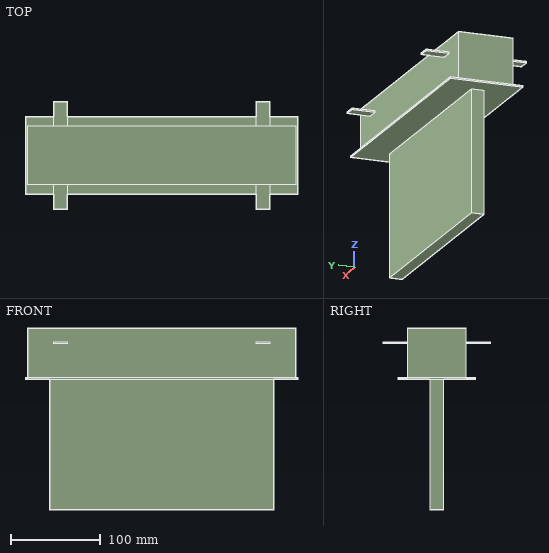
import cadquery as cq

total_height = 202.0
blade_height = 145.0
flange_thickness = 1.8
housing_height = total_height - blade_height - flange_thickness

flange_length = 303.0
flange_width = 86.7
housing_length = 298.5
housing_width = 65.0
blade_length = 249.7
blade_thickness = 15.0

tab_span = 120.0
tab_width = 15.0
tab_thickness = 1.8
tab_spacing = 225.5
tab_depth_below_top = 15.0

flange_bottom = blade_height
housing_bottom = flange_bottom + flange_thickness
tab_bottom = total_height - tab_depth_below_top - tab_thickness


def block(length, width, height, bottom, center_x=0):
    """Box centred on Y = 0 that rises from the given bottom height."""
    return (
        cq.Workplane("XY")
        .box(length, width, height, centered=(True, True, False))
        .translate((center_x, 0, bottom))
    )


blade = block(blade_length, blade_thickness, blade_height, 0)
flange = block(flange_length, flange_width, flange_thickness, flange_bottom)
housing = block(housing_length, housing_width, housing_height, housing_bottom)

result = blade.union(flange).union(housing)

for side in (-1, 1):
    strip = block(tab_width, tab_span, tab_thickness, tab_bottom, side * tab_spacing / 2)
    result = result.union(strip)